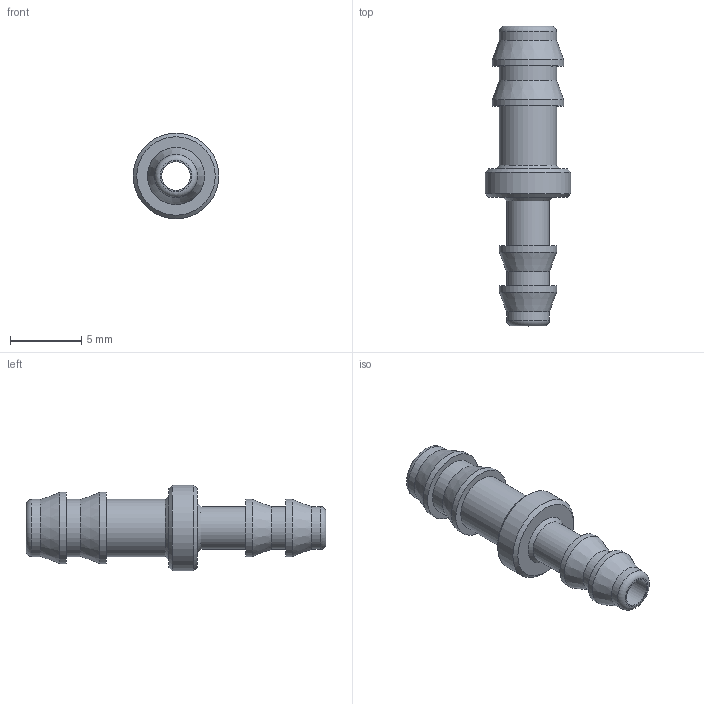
import cadquery as cq
import math

BORE_RADIUS = 1.0

COLLAR_RADIUS = 3.0
COLLAR_WIDTH = 2.0
COLLAR_EDGE = 0.25
ROOT_FLARE = 0.25

SMALL_RADIUS = 1.5
SMALL_LENGTH = 9.0
LARGE_RADIUS = 2.0
LARGE_LENGTH = 10.0

TIP_FILLET = 0.4
BARB_HEIGHT = 0.5
BARB_ANGLE = 20.0
BARB_LENGTH = 1.8
BARB_GAP = 1.0
BARB_COUNT = 2

BARB_RAMP = BARB_HEIGHT / math.tan(math.radians(BARB_ANGLE))

HALF_LENGTH = (SMALL_LENGTH + COLLAR_WIDTH + LARGE_LENGTH) / 2
COLLAR_FRONT_Y = -HALF_LENGTH + SMALL_LENGTH
COLLAR_BACK_Y = COLLAR_FRONT_Y + COLLAR_WIDTH


def revolve_about_y(profile):
    """Turn a closed half profile in the XY plane into a solid of revolution."""
    return profile.close().revolve(360, (0, 0, 0), (0, 1, 0))


def make_collar():
    rim_radius = COLLAR_RADIUS - COLLAR_EDGE
    profile = (
        cq.Workplane("XY")
        .moveTo(0, COLLAR_FRONT_Y)
        .lineTo(rim_radius, COLLAR_FRONT_Y)
        .lineTo(COLLAR_RADIUS, COLLAR_FRONT_Y + COLLAR_EDGE)
        .lineTo(COLLAR_RADIUS, COLLAR_BACK_Y - COLLAR_EDGE)
        .lineTo(rim_radius, COLLAR_BACK_Y)
        .lineTo(0, COLLAR_BACK_Y)
    )
    return revolve_about_y(profile)


def make_spigot(radius, tip_y, root_y):
    """Barbed spigot from its rounded tip to its flared root on the collar face."""
    inward = 1 if root_y > tip_y else -1
    crest_radius = radius + BARB_HEIGHT

    profile = (
        cq.Workplane("XY")
        .moveTo(0, tip_y)
        .lineTo(radius - TIP_FILLET, tip_y)
        .tangentArcPoint((radius, tip_y + inward * TIP_FILLET), relative=False)
    )
    y = tip_y
    for _ in range(BARB_COUNT):
        ramp_start = y + inward * BARB_GAP
        ramp_end = ramp_start + inward * BARB_RAMP
        y = ramp_start + inward * BARB_LENGTH
        profile = (
            profile.lineTo(radius, ramp_start)
            .lineTo(crest_radius, ramp_end)
            .lineTo(crest_radius, y)
            .lineTo(radius, y)
        )
    profile = (
        profile.lineTo(radius, root_y - inward * ROOT_FLARE)
        .lineTo(radius + ROOT_FLARE, root_y)
        .lineTo(0, root_y)
    )
    return revolve_about_y(profile)


def make_bore():
    profile = (
        cq.Workplane("XY")
        .moveTo(0, -HALF_LENGTH)
        .lineTo(BORE_RADIUS, -HALF_LENGTH)
        .lineTo(BORE_RADIUS, HALF_LENGTH)
        .lineTo(0, HALF_LENGTH)
    )
    return revolve_about_y(profile)


small_spigot = make_spigot(SMALL_RADIUS, -HALF_LENGTH, COLLAR_FRONT_Y)
large_spigot = make_spigot(LARGE_RADIUS, HALF_LENGTH, COLLAR_BACK_Y)
result = make_collar().union(small_spigot).union(large_spigot).cut(make_bore())